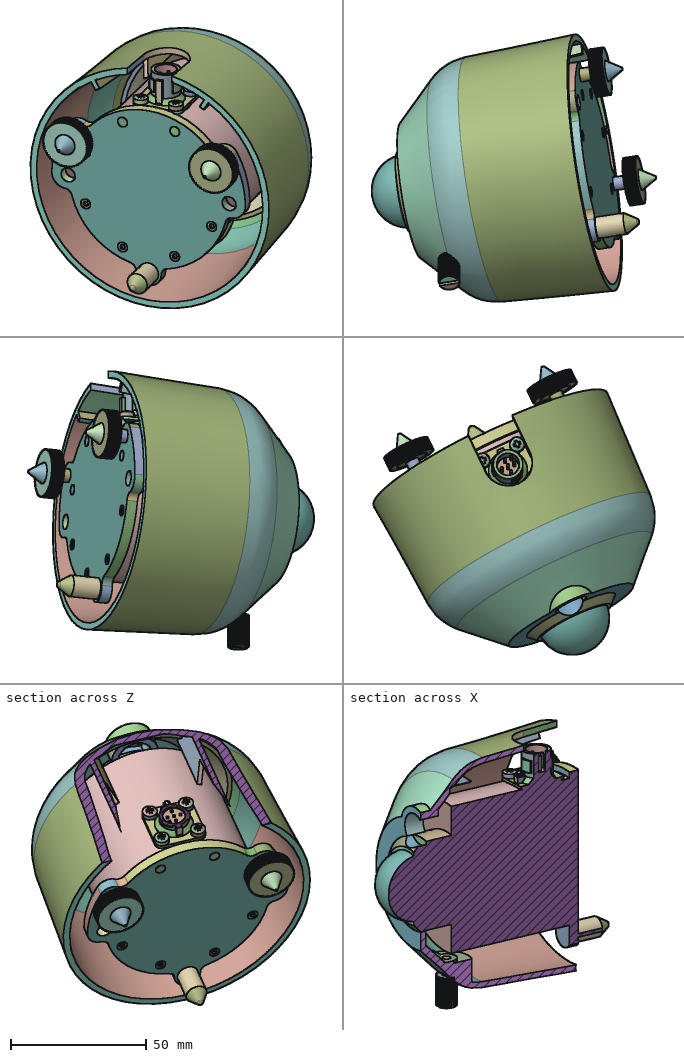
import cadquery as cq
import math


RIM_RADIUS = 48.1
WALL = 2.5
ARC_START = (45.8, 41.8)
SHOULDER_RADIUS = 20.0
CONE_START_Y = 54.9
SHIELD_TOP_Y = 69.3
SHIELD_TOP_RADIUS = 25.5
CONE_START = (SHIELD_TOP_RADIUS + SHIELD_TOP_Y - CONE_START_Y, CONE_START_Y)
LEDGE_Y = 56.2
LEDGE_OUTER_RADIUS = 36.2
LEDGE_INNER_RADIUS = 34.4
CEILING_Y = SHIELD_TOP_Y - WALL

LEVEL_Z = 21.5
LEVEL_TUBE_RADIUS = 9.0
LEVEL_TUBE_LENGTH = 8.1
LEVEL_HOLE_RADIUS = 6.4

RIB_THICKNESS = 1.9
RIB_ANGLE = 30.0
RIB_RIM_RADIUS = 41.9
RIB_ROOT = (40.4, 38.4)
RIB_TIP = (33.8, 32.1)
RIB_DEEP_Y = 57.6

SCREW_Y = 55.0
SCREW_SHAFT_RADIUS = 3.2 / 2
SCREW_HEAD_RADIUS = 8.0 / 2
SCREW_INNER_Z = -32.1
SCREW_HEAD_Z = -38.8
SCREW_END_Z = -50.9
SCREW_SLOT_WIDTH = 1.3
SCREW_SLOT_DEPTH = 1.2
SCREW_CHAMFER = 0.4
SCREW_TEETH = 30
SCREW_TOOTH_DEPTH = 0.2
BOSS_RADIUS = 9.5
BOSS_PAD_DEPTH = 1.0

PLATE_FRONT_Y = -1.0
PLATE_BACK_Y = 3.1
PLATE_RADIUS = 31.9
HOUSING_RADIUS = 59.0 / 2
HOUSING_TOP_Y = 55.5
COLLAR_RADIUS = 18.2
COLLAR_TOP_RADIUS = 14.9
COLLAR_TOP_Y = 72.2
DOME_RADIUS = 13.7
DOME_TIP_Y = 84.1

FOOT_CIRCLE_RADIUS = 33.9
FOOT_EAR_RADIUS = 5.0
EAR_SPAN_ANGLE = 30.0
SIDE_HOLE_X = 32.4
SIDE_HOLE_RADIUS = 5.6 / 2
SIDE_LOBE_RADIUS = 5.7
EAR_OUTER_RADIUS = FOOT_CIRCLE_RADIUS + FOOT_EAR_RADIUS
EAR_FILLET = 3.0
ON_CIRCLE_TOLERANCE = 0.01

PLATE_SCREW_CIRCLE = 27.5
PLATE_SCREW_COUNT = 8
PLATE_SCREW_RADIUS = 1.9
PLATE_SCREW_RECESS = 0.1
HEX_SOCKET = 2.0
HEX_DEPTH = 1.0

FOOT_X = FOOT_CIRCLE_RADIUS * math.cos(math.radians(EAR_SPAN_ANGLE))
FOOT_Z = FOOT_CIRCLE_RADIUS * math.sin(math.radians(EAR_SPAN_ANGLE))
KNOB_FEET = [(-FOOT_X, FOOT_Z), (FOOT_X, FOOT_Z)]
FIXED_FOOT = (0, -FOOT_CIRCLE_RADIUS)
FOOT_TIP_Y = -16.9
FOOT_RADIUS = 8.0 / 2
FOOT_CONE_Y = -11.6
FOOT_TIP_RADIUS = 1.3
FOOT_TIP_HEIGHT = 0.8
STUD_RADIUS = 5.0 / 2
KNOB_RADIUS = 9.0
KNOB_BACK_Y = -6.0
KNOB_FRONT_Y = -11.0
KNOB_HUB_RADIUS = 6.2
KNOB_HUB_HEIGHT = 0.3
KNOB_TIP_RADIUS = 1.0 / 2
KNOB_TEETH = 60
KNOB_TOOTH_DEPTH = 0.3

CONNECTOR_Y = 15.1
NOTCH_RADIUS = 8.94
FLANGE_SIDE = 19.6
FLANGE_CORNER = 2.5
FLANGE_BOTTOM_Z = 29.3
NECK_RADIUS = 9.1
FLANGE_TOP_Z = 30.5
SKIRT_RADIUS = 7.2
SKIRT_TOP_Z = 32.6
BARREL_RADIUS = 11.0 / 2
BARREL_TOP_Z = 42.1
BORE_RADIUS = 8.3 / 2
BORE_FLOOR_Z = 34.3
PIN_PITCH = 2.5
PIN_RADIUS = 0.5
PIN_TOP_Z = 40.1
POLARITY_KEY_SIDE = 0.9
POLARITY_KEY_OFFSET = 2.5
KEY_WIDTH = 2.3
KEY_REACH = 6.8
KEY_TOP_Z = 40.1
REAR_KEY_REACH = 9.1
REAR_KEY_TOP_Z = 32.9
REAR_RIDGE_WIDTH = 1.3
REAR_RIDGE_TOP_Z = 33.5
LUG_COUNT = 3
LUG_WIDTH = 4.6
LUG_REACH = 6.1
LUG_START_ANGLE = -17.0
LUG_BOTTOM_Z = 34.5
LUG_TOP_Z = 39.4
FLANGE_SCREW_OFFSET = 7.1
FLANGE_SCREW_RADIUS = 5.5 / 2
FLANGE_SCREW_EDGE_Z = 32.3
FLANGE_SCREW_TOP_Z = 33.1
CROSS_LENGTH = 2.6
CROSS_WIDTH = 0.9
CROSS_DEPTH = 1.0


def along_y(x, z, radius, y_start, y_end):
    """Cylinder parallel to Y."""
    plane = cq.Workplane("XZ", origin=(x, y_start, z))
    return plane.circle(radius).extrude(y_start - y_end)


def along_z(x, y, radius, z_start, z_end):
    """Cylinder parallel to Z."""
    return cq.Workplane("XY", origin=(x, y, z_start)).circle(radius).extrude(z_end - z_start)


def box_between(x_range, y_range, z_range):
    size = [high - low for low, high in (x_range, y_range, z_range)]
    corner = (x_range[0], y_range[0], z_range[0])
    return cq.Workplane("XY").box(*size, centered=False).translate(corner)


def spin_about_y(profile):
    return profile.close().revolve(360, (0, 0, 0), (0, 1, 0))


def cap_sphere_radius(rim_radius, height):
    """Radius of the sphere whose cap has the given rim radius and height."""
    return (rim_radius ** 2 + height ** 2) / (2 * height)


def knurl_points(radius, teeth, tooth_depth):
    """Closed zigzag outline with the tooth tips on the given radius."""
    points = []
    for i in range(2 * teeth):
        r = radius - tooth_depth * (i % 2)
        angle = math.pi * i / teeth
        points.append((r * math.cos(angle), r * math.sin(angle)))
    return points


def bulge_middle(start, end, radius):
    """Middle point of the arc between two (radius, y) points that bulges to the right of the way up."""
    dx = end[0] - start[0]
    dy = end[1] - start[1]
    chord = math.hypot(dx, dy)
    sagitta = radius - math.sqrt(radius ** 2 - (chord / 2) ** 2)
    return ((start[0] + end[0]) / 2 + sagitta * dy / chord,
            (start[1] + end[1]) / 2 - sagitta * dx / chord)


def shield_outer():
    return spin_about_y(
        cq.Workplane("XY")
        .moveTo(0, 0)
        .lineTo(RIM_RADIUS, 0)
        .lineTo(*ARC_START)
        .threePointArc(bulge_middle(ARC_START, CONE_START, SHOULDER_RADIUS), CONE_START)
        .lineTo(SHIELD_TOP_RADIUS, SHIELD_TOP_Y)
        .lineTo(0, SHIELD_TOP_Y)
    )


def shield_inner():
    arc_start = (ARC_START[0] - WALL, ARC_START[1])
    diagonal = WALL * math.sqrt(0.5)
    cone_start = (CONE_START[0] - diagonal, CONE_START[1] - diagonal)
    middle = bulge_middle(arc_start, cone_start, SHOULDER_RADIUS - WALL)
    return spin_about_y(
        cq.Workplane("XY")
        .moveTo(0, 0)
        .lineTo(RIM_RADIUS - WALL, 0)
        .lineTo(*arc_start)
        .threePointArc(middle, cone_start)
        .lineTo(LEDGE_OUTER_RADIUS, LEDGE_Y)
        .lineTo(LEDGE_INNER_RADIUS, LEDGE_Y)
        .lineTo(LEDGE_INNER_RADIUS - (CEILING_Y - LEDGE_Y), CEILING_Y)
        .lineTo(0, CEILING_Y)
    )


def shield_ribs():
    """Radial ribs under the wall at each side of +Z, before trimming to the outside."""
    outline = [
        (0, RIM_RADIUS),
        (0, RIB_RIM_RADIUS),
        RIB_ROOT,
        RIB_TIP,
        (RIB_DEEP_Y, RIB_TIP[1]),
        (RIB_DEEP_Y, RIM_RADIUS),
    ]
    rib = cq.Workplane("YZ").polyline(outline).close().extrude(RIB_THICKNESS / 2, both=True)
    ribs = cq.Workplane("XY")
    for angle in (-RIB_ANGLE, RIB_ANGLE):
        ribs = ribs.add(rib.rotate((0, 0, 0), (0, 1, 0), angle))
    return ribs.combine()


def screw_boss():
    boss = along_z(0, SCREW_Y, BOSS_RADIUS, -RIM_RADIUS, SCREW_INNER_Z - BOSS_PAD_DEPTH)
    pad = box_between(
        (-BOSS_RADIUS, BOSS_RADIUS),
        (SCREW_Y, SCREW_Y + BOSS_RADIUS),
        (-RIM_RADIUS, SCREW_INNER_Z),
    )
    seat = along_z(0, SCREW_Y, SCREW_HEAD_RADIUS, SCREW_HEAD_Z, SCREW_INNER_Z)
    return boss.union(pad).union(seat)


def connector_notch():
    straight = box_between(
        (-NOTCH_RADIUS, NOTCH_RADIUS), (-WALL, CONNECTOR_Y), (FLANGE_TOP_Z, RIM_RADIUS)
    )
    round_end = along_z(0, CONNECTOR_Y, NOTCH_RADIUS, FLANGE_TOP_Z, RIM_RADIUS)
    return straight.union(round_end)


def make_shield():
    outside = shield_outer()
    inside_parts = shield_ribs().union(screw_boss()).intersect(outside)
    shield = outside.cut(shield_inner()).union(inside_parts)
    shield = shield.cut(connector_notch())
    tube_start_y = SHIELD_TOP_Y - LEVEL_TUBE_LENGTH
    shield = shield.union(along_y(0, LEVEL_Z, LEVEL_TUBE_RADIUS, tube_start_y, SHIELD_TOP_Y))
    shield = shield.cut(along_y(0, LEVEL_Z, LEVEL_HOLE_RADIUS, tube_start_y, SHIELD_TOP_Y))
    shield = shield.cut(along_y(0, 0, COLLAR_RADIUS, HOUSING_TOP_Y, SHIELD_TOP_Y))
    shield = shield.cut(along_z(0, SCREW_Y, SCREW_SHAFT_RADIUS, SCREW_HEAD_Z, SCREW_INNER_Z))
    return shield.cut(along_z(0, SCREW_Y, SCREW_HEAD_RADIUS, SCREW_END_Z, SCREW_HEAD_Z))


def make_thumb_screw():
    head_length = SCREW_HEAD_Z - SCREW_END_Z
    outline = knurl_points(SCREW_HEAD_RADIUS, SCREW_TEETH, SCREW_TOOTH_DEPTH)
    knurled = (
        cq.Workplane("XY", origin=(0, SCREW_Y, SCREW_END_Z))
        .polyline(outline)
        .close()
        .extrude(head_length)
    )
    envelope = along_z(0, SCREW_Y, SCREW_HEAD_RADIUS, SCREW_END_Z, SCREW_HEAD_Z)
    head = knurled.intersect(envelope.faces("<Z").chamfer(SCREW_CHAMFER))
    slot = box_between(
        (-SCREW_SLOT_WIDTH / 2, SCREW_SLOT_WIDTH / 2),
        (SCREW_Y - SCREW_HEAD_RADIUS, SCREW_Y + SCREW_HEAD_RADIUS),
        (SCREW_END_Z, SCREW_END_Z + SCREW_SLOT_DEPTH),
    )
    shaft = along_z(0, SCREW_Y, SCREW_SHAFT_RADIUS, SCREW_HEAD_Z, SCREW_INNER_Z)
    return head.cut(slot).union(shaft)


def ear_band(side):
    """Sector of the plate between a side hole and the knob foot above it."""
    half = math.radians(EAR_SPAN_ANGLE / 2)
    return (
        cq.Workplane("XZ", origin=(0, PLATE_FRONT_Y, 0))
        .lineTo(side * EAR_OUTER_RADIUS, 0)
        .threePointArc(
            (side * EAR_OUTER_RADIUS * math.cos(half), EAR_OUTER_RADIUS * math.sin(half)),
            (side * EAR_OUTER_RADIUS * math.cos(2 * half), EAR_OUTER_RADIUS * math.sin(2 * half)),
        )
        .close()
        .extrude(PLATE_FRONT_Y - PLATE_BACK_Y)
    )


def base_plate():
    plate = along_y(0, 0, PLATE_RADIUS, PLATE_FRONT_Y, PLATE_BACK_Y)
    for x, z in KNOB_FEET + [FIXED_FOOT]:
        plate = plate.union(along_y(x, z, FOOT_EAR_RADIUS, PLATE_FRONT_Y, PLATE_BACK_Y))
    lobe_x = EAR_OUTER_RADIUS - SIDE_LOBE_RADIUS
    for side in (-1, 1):
        plate = plate.union(along_y(side * lobe_x, 0, SIDE_LOBE_RADIUS, PLATE_FRONT_Y, PLATE_BACK_Y))
        plate = plate.union(ear_band(side))
    inner_corners = [
        edge for edge in plate.edges("|Y").vals()
        if abs(math.hypot(edge.Center().x, edge.Center().z) - PLATE_RADIUS) < ON_CIRCLE_TOLERANCE
    ]
    return plate.newObject(inner_corners).fillet(EAR_FILLET)


def plate_recesses():
    """Side holes, screw recesses and hexagon sockets in the front face of the plate."""
    cuts = cq.Workplane("XY")
    for side in (-1, 1):
        cuts = cuts.add(along_y(side * SIDE_HOLE_X, 0, SIDE_HOLE_RADIUS, PLATE_FRONT_Y, PLATE_BACK_Y))
    for i in range(PLATE_SCREW_COUNT):
        angle = math.radians((i + 0.5) * 360 / PLATE_SCREW_COUNT)
        x = PLATE_SCREW_CIRCLE * math.cos(angle)
        z = PLATE_SCREW_CIRCLE * math.sin(angle)
        recess_end_y = PLATE_FRONT_Y + PLATE_SCREW_RECESS
        cuts = cuts.add(along_y(x, z, PLATE_SCREW_RADIUS, PLATE_FRONT_Y, recess_end_y))
        if z < 0:
            socket = cq.Workplane("XZ", origin=(x, recess_end_y, z)).polygon(6, HEX_SOCKET)
            cuts = cuts.add(socket.extrude(-HEX_DEPTH))
    return cuts.combine()


def housing_and_dome():
    housing = along_y(0, 0, HOUSING_RADIUS, PLATE_BACK_Y, HOUSING_TOP_Y)
    collar = spin_about_y(
        cq.Workplane("XY")
        .moveTo(0, HOUSING_TOP_Y)
        .lineTo(COLLAR_RADIUS, HOUSING_TOP_Y)
        .lineTo(COLLAR_RADIUS, SHIELD_TOP_Y)
        .lineTo(COLLAR_TOP_RADIUS, COLLAR_TOP_Y)
        .lineTo(0, COLLAR_TOP_Y)
    )
    collar = collar.cut(along_y(0, LEVEL_Z, LEVEL_HOLE_RADIUS, CEILING_Y, COLLAR_TOP_Y))
    dome = cq.Workplane("XY").sphere(DOME_RADIUS).translate((0, DOME_TIP_Y - DOME_RADIUS, 0))
    above_collar = along_y(0, 0, DOME_RADIUS, COLLAR_TOP_Y, DOME_TIP_Y)
    return housing.union(collar).union(dome.intersect(above_collar))


def fixed_foot():
    tip = (0, FOOT_TIP_Y)
    tip_edge = (FOOT_TIP_RADIUS, FOOT_TIP_Y + FOOT_TIP_HEIGHT)
    tip_middle = bulge_middle(tip, tip_edge, cap_sphere_radius(FOOT_TIP_RADIUS, FOOT_TIP_HEIGHT))
    foot = spin_about_y(
        cq.Workplane("XY")
        .moveTo(0, PLATE_FRONT_Y)
        .lineTo(FOOT_RADIUS, PLATE_FRONT_Y)
        .lineTo(FOOT_RADIUS, FOOT_CONE_Y)
        .lineTo(*tip_edge)
        .threePointArc(tip_middle, tip)
    )
    return foot.translate((FIXED_FOOT[0], 0, FIXED_FOOT[1]))


def knob_foot(x, z):
    stud = along_y(x, z, STUD_RADIUS, KNOB_BACK_Y, PLATE_FRONT_Y)
    hub = along_y(x, z, KNOB_HUB_RADIUS, KNOB_BACK_Y, KNOB_BACK_Y + KNOB_HUB_HEIGHT)
    knob = (
        cq.Workplane("XZ", origin=(x, KNOB_BACK_Y, z))
        .polyline(knurl_points(KNOB_RADIUS, KNOB_TEETH, KNOB_TOOTH_DEPTH))
        .close()
        .extrude(KNOB_BACK_Y - KNOB_FRONT_Y)
    )
    point = spin_about_y(
        cq.Workplane("XY")
        .moveTo(0, KNOB_FRONT_Y)
        .lineTo(FOOT_RADIUS, KNOB_FRONT_Y)
        .lineTo(KNOB_TIP_RADIUS, FOOT_TIP_Y)
        .lineTo(0, FOOT_TIP_Y)
    )
    return knob.union(stud).union(hub).union(point.translate((x, 0, z)))


def flange_screw(x, y):
    """Cross-slot screw head with a shallow spherical top."""
    cap_height = FLANGE_SCREW_TOP_Z - FLANGE_SCREW_EDGE_Z
    cap_radius = cap_sphere_radius(FLANGE_SCREW_RADIUS, cap_height)
    cap = cq.Workplane("XY").sphere(cap_radius).translate((x, y, FLANGE_SCREW_TOP_Z - cap_radius))
    head = along_z(x, y, FLANGE_SCREW_RADIUS, FLANGE_BOTTOM_Z, FLANGE_SCREW_TOP_Z).intersect(cap)
    floor_z = FLANGE_SCREW_TOP_Z - CROSS_DEPTH
    half_length = CROSS_LENGTH / 2
    half_width = CROSS_WIDTH / 2
    for half_x, half_y in ((half_length, half_width), (half_width, half_length)):
        arm = box_between(
            (x - half_x, x + half_x), (y - half_y, y + half_y), (floor_z, FLANGE_SCREW_TOP_Z)
        )
        head = head.cut(arm)
    return head


def connector_flange():
    """Square flange on a round neck, with its four screws."""
    flange = (
        cq.Workplane("XY", origin=(0, CONNECTOR_Y, FLANGE_BOTTOM_Z))
        .rect(FLANGE_SIDE, FLANGE_SIDE)
        .extrude(FLANGE_TOP_Z - FLANGE_BOTTOM_Z)
        .edges("|Z")
        .fillet(FLANGE_CORNER)
    )
    flange = flange.union(along_z(0, CONNECTOR_Y, NECK_RADIUS, HOUSING_RADIUS / 2, FLANGE_BOTTOM_Z))
    for x in (-FLANGE_SCREW_OFFSET, FLANGE_SCREW_OFFSET):
        for dy in (-FLANGE_SCREW_OFFSET, FLANGE_SCREW_OFFSET):
            flange = flange.union(flange_screw(x, CONNECTOR_Y + dy))
    return flange


def barrel_keys():
    """Tall key toward the open rim and a low stepped key on the far side."""
    front_key = box_between(
        (-KEY_WIDTH / 2, KEY_WIDTH / 2),
        (CONNECTOR_Y - KEY_REACH, CONNECTOR_Y),
        (FLANGE_TOP_Z, KEY_TOP_Z),
    )
    rear_y = (CONNECTOR_Y, CONNECTOR_Y + REAR_KEY_REACH)
    rear_key = box_between((-KEY_WIDTH / 2, KEY_WIDTH / 2), rear_y, (FLANGE_TOP_Z, REAR_KEY_TOP_Z))
    ridge = box_between(
        (-REAR_RIDGE_WIDTH / 2, REAR_RIDGE_WIDTH / 2), rear_y, (FLANGE_TOP_Z, REAR_RIDGE_TOP_Z)
    )
    return front_key.union(rear_key).union(ridge)


def bayonet_lug(angle):
    lug = box_between((0, LUG_REACH), (-LUG_WIDTH / 2, LUG_WIDTH / 2), (LUG_BOTTOM_Z, LUG_TOP_Z))
    lug = lug.intersect(along_z(0, 0, LUG_REACH, LUG_BOTTOM_Z, LUG_TOP_Z))
    return lug.rotate((0, 0, 0), (0, 0, 1), angle).translate((0, CONNECTOR_Y, 0))


def connector_barrel():
    barrel = along_z(0, CONNECTOR_Y, BARREL_RADIUS, FLANGE_TOP_Z, BARREL_TOP_Z)
    skirt = (
        cq.Workplane("XZ", origin=(0, CONNECTOR_Y, 0))
        .moveTo(0, FLANGE_TOP_Z)
        .lineTo(SKIRT_RADIUS, FLANGE_TOP_Z)
        .lineTo(BARREL_RADIUS, SKIRT_TOP_Z)
        .lineTo(0, SKIRT_TOP_Z)
        .close()
        .revolve(360, (0, 0, 0), (0, 1, 0))
    )
    barrel = barrel.union(skirt).union(barrel_keys())
    for i in range(LUG_COUNT):
        barrel = barrel.union(bayonet_lug(LUG_START_ANGLE + i * 360 / LUG_COUNT))
    barrel = barrel.cut(along_z(0, CONNECTOR_Y, BORE_RADIUS, BORE_FLOOR_Z, BARREL_TOP_Z))
    for x, dy in ((0, 0), (PIN_PITCH, 0), (-PIN_PITCH, 0), (0, PIN_PITCH), (0, -PIN_PITCH)):
        barrel = barrel.union(along_z(x, CONNECTOR_Y + dy, PIN_RADIUS, BORE_FLOOR_Z, PIN_TOP_Z))
    polarity_key = (
        cq.Workplane("XY", origin=(-POLARITY_KEY_OFFSET, CONNECTOR_Y - POLARITY_KEY_OFFSET, BORE_FLOOR_Z))
        .rect(POLARITY_KEY_SIDE, POLARITY_KEY_SIDE)
        .extrude(PIN_TOP_Z - BORE_FLOOR_Z)
    )
    return barrel.union(polarity_key)


def make_instrument():
    instrument = base_plate().union(housing_and_dome()).cut(plate_recesses())
    instrument = instrument.union(fixed_foot())
    for x, z in KNOB_FEET:
        instrument = instrument.union(knob_foot(x, z))
    return instrument.union(connector_flange()).union(connector_barrel())


shield = make_shield()
thumb_screw = make_thumb_screw()
instrument = make_instrument()

result = cq.Compound.makeCompound([shield.val(), thumb_screw.val(), instrument.val()])